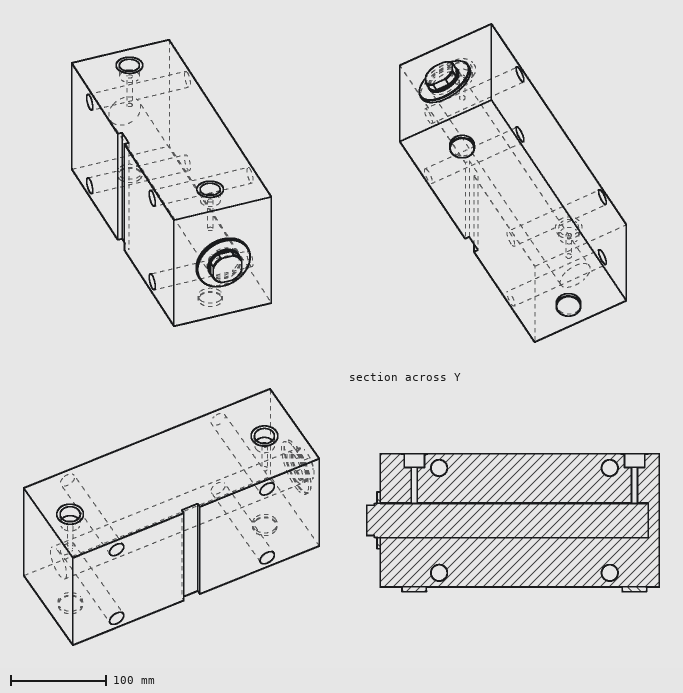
import cadquery as cq

LENGTH = 293.0
WIDTH = 110.0
HEIGHT = 140.0
AXIS_Y = WIDTH / 2
AXIS_Z = HEIGHT / 2

FRONT_CHAMFER = 0.2

SLOT_START = 132.0
SLOT_WIDTH = 19.0
SLOT_DEPTH = 5.0

MOUNT_DIAMETER = 17.0
MOUNT_X_FIRST = 52.0
MOUNT_X_SPACING = 179.0
MOUNT_Z_EDGE = 15.0

PORT_X = (26.0, 257.0)
SPOTFACE_DIAMETER = 28.0
SPOTFACE_DEPTH = 0.2
PORT_DIAMETER = 21.0
PORT_DEPTH = 14.5
OIL_HOLE_DIAMETER = 6.0

PLUG_DIAMETER = 26.0
PLUG_HEIGHT = 4.9
PLUG_CHAMFER = 0.6

GLAND_DIAMETER = 60.0
GLAND_THICKNESS = 3.4
GLAND_CHAMFER = 0.6

ROD_DIAMETER = 36.0
ROD_START = 12.0
ROD_END = LENGTH + 14.0
ROD_TIP_DIAMETER = 35.2
ROD_TIP_START = ROD_END - 7.8
ROD_SHOULDER_LENGTH = 1.0
ROD_TIP_CHAMFER = 0.7
FLAT_SIZE = 32.0


def x_cylinder(diameter, start, end):
    """Cylinder on the rod axis; its seam line is at the top."""
    plane = cq.Plane(origin=(start, AXIS_Y, AXIS_Z), xDir=(0, 0, 1), normal=(1, 0, 0))
    return cq.Workplane(plane).circle(diameter / 2).extrude(end - start)


def z_cylinder(diameter, x, bottom, top):
    """Upright cylinder on the mid-plane of the housing."""
    plane = cq.Plane(origin=(x, AXIS_Y, bottom))
    return cq.Workplane(plane).circle(diameter / 2).extrude(top - bottom)


def port_cutter(x):
    spotface = z_cylinder(SPOTFACE_DIAMETER, x, HEIGHT - SPOTFACE_DEPTH, HEIGHT)
    port = z_cylinder(PORT_DIAMETER, x, HEIGHT - PORT_DEPTH, HEIGHT)
    oil_hole = z_cylinder(OIL_HOLE_DIAMETER, x, AXIS_Z, HEIGHT)
    return spotface.union(port).union(oil_hole)


def make_housing():
    block = cq.Workplane("XY").box(LENGTH, WIDTH, HEIGHT, centered=False)
    block = block.faces("<Y").edges("|X").chamfer(FRONT_CHAMFER)

    slot = cq.Workplane("XY").box(SLOT_WIDTH, SLOT_DEPTH, HEIGHT, centered=False)
    block = block.cut(slot.translate((SLOT_START, 0, 0)))

    for x in (MOUNT_X_FIRST, MOUNT_X_FIRST + MOUNT_X_SPACING):
        for z in (MOUNT_Z_EDGE, HEIGHT - MOUNT_Z_EDGE):
            plane = cq.Plane(origin=(x, 0, z), xDir=(1, 0, 0), normal=(0, 1, 0))
            block = block.cut(cq.Workplane(plane).circle(MOUNT_DIAMETER / 2).extrude(WIDTH))

    for x in PORT_X:
        block = block.cut(port_cutter(x))

    return block.cut(x_cylinder(ROD_DIAMETER, ROD_START, LENGTH))


def make_gland():
    outer_end = LENGTH + GLAND_THICKNESS
    ring = x_cylinder(GLAND_DIAMETER, LENGTH, outer_end).faces(">X").edges().chamfer(GLAND_CHAMFER)
    return ring.cut(x_cylinder(ROD_DIAMETER, LENGTH, outer_end))


def make_rod():
    shoulder_start = ROD_TIP_START - ROD_SHOULDER_LENGTH
    shaft = x_cylinder(ROD_DIAMETER, ROD_START, shoulder_start)
    shoulder = (
        shaft.faces(">X").workplane().circle(ROD_DIAMETER / 2)
        .workplane(offset=ROD_SHOULDER_LENGTH).circle(ROD_TIP_DIAMETER / 2)
        .loft(combine=False)
    )
    tip = x_cylinder(ROD_TIP_DIAMETER, ROD_TIP_START, ROD_END).faces(">X").edges().chamfer(ROD_TIP_CHAMFER)
    flats = cq.Workplane("XY").box(ROD_END - ROD_TIP_START, FLAT_SIZE, FLAT_SIZE, centered=(False, True, True))
    tip = tip.intersect(flats.translate((ROD_TIP_START, AXIS_Y, AXIS_Z)))
    return shaft.union(shoulder).union(tip)


def make_plug(x):
    plug = z_cylinder(PLUG_DIAMETER, x, -PLUG_HEIGHT, 0)
    return plug.faces("<Z").edges().chamfer(PLUG_CHAMFER)


housing = make_housing()
gland = make_gland()
rod = make_rod()
plugs = [make_plug(x) for x in PORT_X]

result = cq.Compound.makeCompound(
    [housing.val(), gland.val(), rod.val(), *[plug.val() for plug in plugs]]
)